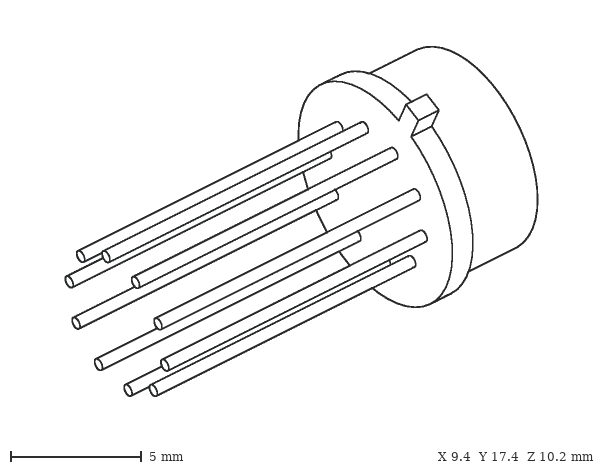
import cadquery as cq
import math

flange_diameter = 9.4
flange_thickness = 1.01
can_diameter = 8.49
can_height = 4.7
can_top_radius = 0.26
can_foot_radius = 0.3
overall_length = 17.4
lead_length = overall_length - can_height
lead_diameter = 0.49
lead_circle_radius = 2.92
lead_count = 10
tab_angle = 67.3
tab_width = 0.82
tab_tip_radius = 5.83


def make_can():
    """Flange and can revolved as one profile, with a concave foot and a rounded top."""
    can_radius = can_diameter / 2
    foot_radius = can_radius + can_foot_radius
    foot_bend = can_foot_radius * (1 - math.sqrt(0.5))
    top_bend = can_top_radius * (1 - math.sqrt(0.5))
    profile = (
        cq.Workplane("XY")
        .lineTo(flange_diameter / 2, 0)
        .lineTo(flange_diameter / 2, flange_thickness)
        .lineTo(foot_radius, flange_thickness)
        .threePointArc(
            (can_radius + foot_bend, flange_thickness + foot_bend),
            (can_radius, flange_thickness + can_foot_radius),
        )
        .lineTo(can_radius, can_height - can_top_radius)
        .threePointArc(
            (can_radius - top_bend, can_height - top_bend),
            (can_radius - can_top_radius, can_height),
        )
        .lineTo(0, can_height)
        .close()
    )
    return profile.revolve(360, (0, 0, 0), (0, 1, 0))


def make_tab():
    """Index tab, as thick as the flange, pointing outward at tab_angle."""
    tab_root_radius = can_diameter / 2
    tab_length = tab_tip_radius - tab_root_radius
    return (
        cq.Workplane("XY")
        .box(tab_length, flange_thickness, tab_width, centered=(False, False, True))
        .translate((tab_root_radius, 0, 0))
        .rotate((0, 0, 0), (0, 1, 0), -tab_angle)
    )


def make_leads():
    """Ring of round leads, starting in line with the tab."""
    return (
        cq.Workplane("XZ", origin=(0, flange_thickness / 2, 0))
        .polarArray(lead_circle_radius, tab_angle, 360, lead_count)
        .circle(lead_diameter / 2)
        .extrude(lead_length + flange_thickness / 2)
    )


result = make_can().union(make_tab()).union(make_leads())